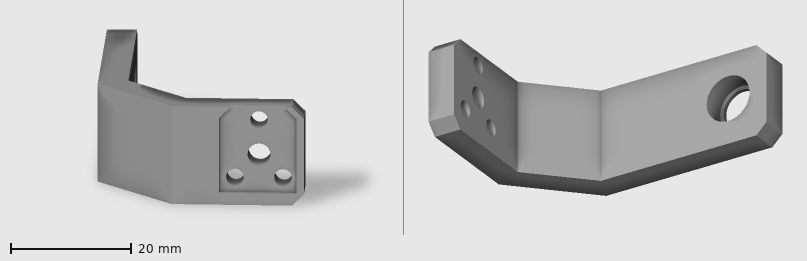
import cadquery as cq
import math

overall_length = 58.35
height = 17.0
thickness = 5.0
bend_angle = 45.0
left_leg_length = 34.6
right_leg_length = 22.0
corner_chamfer = 2.0

hole_from_tip = 7.5
pivot_diameter = 7.0
pivot_bore_diameter = 8.4
pivot_lip = 0.8

pocket_tip_wall = 1.2
pocket_width = 12.9
pocket_floor_height = 2.05
pocket_depth = 1.0
pocket_chamfer = 2.0

center_hole_diameter = 3.8
screw_diameter = 2.9
screw_spacing = 8.0
upper_screw_rise = 6.0
lower_screw_drop = 3.95

bend_cos = math.cos(math.radians(bend_angle))
bend_sin = math.sin(math.radians(bend_angle))
base_length = overall_length - (left_leg_length + right_leg_length) * bend_cos
bend_setback = thickness * math.tan(math.radians(bend_angle / 2))
mid_height = height / 2

left_bend_x = left_leg_length * bend_cos
right_bend_x = left_bend_x + base_length
left_tip = (0, left_leg_length * bend_sin)
right_tip = (overall_length, right_leg_length * bend_sin)


def leg_plane(tip, side):
    """Outer face of a leg: origin at the bottom of its tip, local y up, normal outward.

    side is -1 for the left leg and 1 for the right leg.
    """
    return cq.Plane(
        origin=(tip[0], tip[1], 0),
        xDir=(bend_cos, side * bend_sin, 0),
        normal=(side * bend_sin, -bend_cos, 0),
    )


def make_strap():
    inset_x = thickness * bend_sin
    inset_y = thickness * bend_cos
    outline = [
        left_tip,
        (left_bend_x, 0),
        (right_bend_x, 0),
        right_tip,
        (right_tip[0] - inset_x, right_tip[1] + inset_y),
        (right_bend_x - bend_setback, thickness),
        (left_bend_x + bend_setback, thickness),
        (left_tip[0] + inset_x, left_tip[1] + inset_y),
    ]
    return cq.Workplane("XY").polyline(outline).close().extrude(height)


def make_corner_cutters(plane, inward):
    """Triangular prisms for both end corners; inward is the local x sign away from the tip."""
    cutters = cq.Workplane(plane)
    for edge, toward_middle in ((0, 1), (height, -1)):
        corner = [
            (0, edge),
            (inward * corner_chamfer, edge),
            (0, edge + toward_middle * corner_chamfer),
        ]
        cutters = cutters.polyline(corner).close()
    return cutters.extrude(-thickness)


def make_pivot_cutter(plane):
    """Through hole, widened from the inner face up to a thin lip at the outer face."""
    center = cq.Workplane(plane).center(hole_from_tip, mid_height)
    hole = center.circle(pivot_diameter / 2).extrude(-thickness)
    bore = center.workplane(offset=-pivot_lip).circle(pivot_bore_diameter / 2).extrude(pivot_lip - thickness)
    return hole.union(bore)


def make_pocket_cutter(plane):
    outer_x = -pocket_tip_wall
    inner_x = outer_x - pocket_width
    outline = [
        (outer_x, pocket_floor_height),
        (outer_x, height - pocket_chamfer),
        (outer_x - pocket_chamfer, height),
        (inner_x + pocket_chamfer, height),
        (inner_x, height - pocket_chamfer),
        (inner_x, pocket_floor_height),
    ]
    return cq.Workplane(plane).polyline(outline).close().extrude(-pocket_depth)


def make_sensor_holes(plane):
    """One central hole with three screw holes around it, all through the leg."""
    centers = cq.Workplane(plane).center(-hole_from_tip, mid_height)
    screw_points = [
        (0, upper_screw_rise),
        (-screw_spacing / 2, -lower_screw_drop),
        (screw_spacing / 2, -lower_screw_drop),
    ]
    screws = centers.pushPoints(screw_points).circle(screw_diameter / 2).extrude(-thickness)
    return centers.circle(center_hole_diameter / 2).extrude(-thickness).union(screws)


left_face = leg_plane(left_tip, -1)
right_face = leg_plane(right_tip, 1)

result = (
    make_strap()
    .cut(make_corner_cutters(left_face, 1))
    .cut(make_corner_cutters(right_face, -1))
    .cut(make_pivot_cutter(left_face))
    .cut(make_pocket_cutter(right_face))
    .cut(make_sensor_holes(right_face))
)